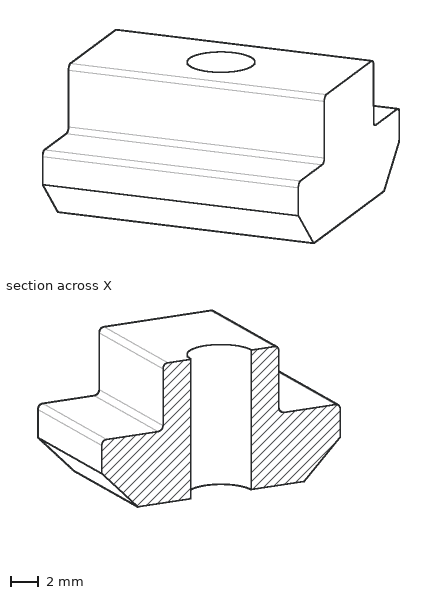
import cadquery as cq

length = 20.0
flange_width = 19.5
height = 10.6

neck_width = 9.5
flange_height = 5.5
bevel = 2.95
edge_radius = 0.4

hole_diameter = 4.92


def make_profile():
    """T-shaped section in the YZ plane, with 45 degree bevels below the flanges."""
    half_flange = flange_width / 2
    half_neck = neck_width / 2
    half_base = half_flange - bevel
    right_side = [
        (half_base, 0),
        (half_flange, bevel),
        (half_flange, flange_height),
        (half_neck, flange_height),
        (half_neck, height),
    ]
    left_side = [(-y, z) for y, z in reversed(right_side)]
    return cq.Workplane("YZ").polyline(right_side + left_side).close()


body = make_profile().extrude(length / 2, both=True)

above_bevels = cq.selectors.BoxSelector(
    (-length, -flange_width, (bevel + flange_height) / 2),
    (length, flange_width, 2 * height),
)
body = body.edges("|X").edges(above_bevels).fillet(edge_radius)

hole = cq.Workplane("XY").circle(hole_diameter / 2).extrude(height)

result = body.cut(hole)